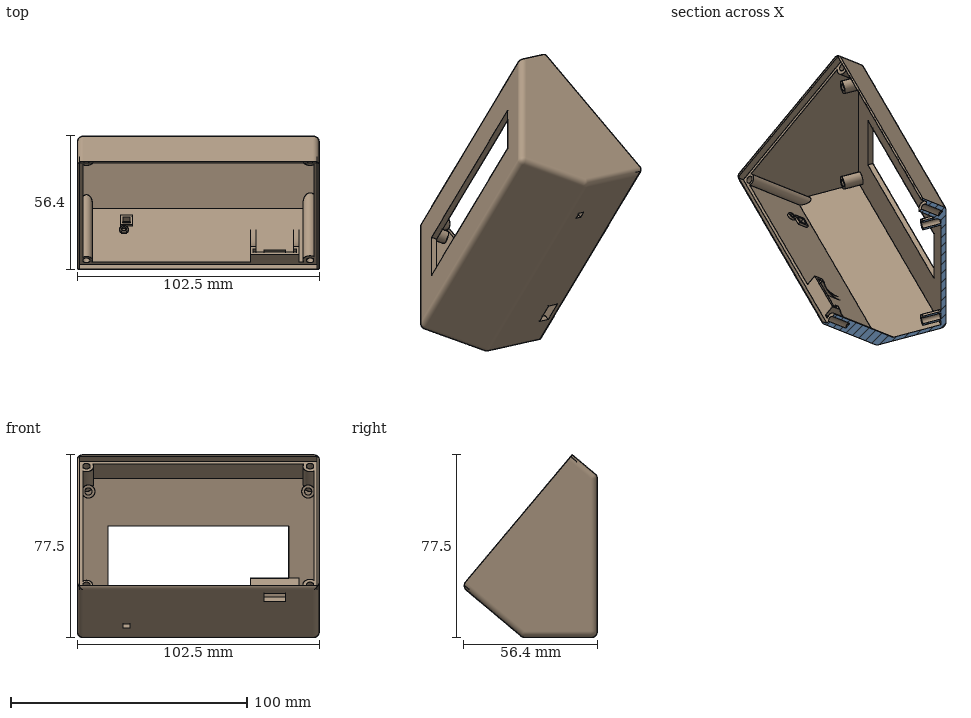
import cadquery as cq
import math


width = 102.5
height = 77.5
tilt = math.radians(40)
bottom_depth = 31.6
tip_depth = 10.7
wall = 2.4
edge_radius = 2.6

lip = 1.0
recess_depth = 3.3

post_radius = 3.1
slim_post_radius = 2.6
post_hole_radius = 1.5
post_hole_depth = 10.2
post_side_inset = 3.9
post_end_inset = 3.6

window_width = 76.5
window_height = 25.4
display_height = 34.5
boss_spacing_x = 93.1
boss_spacing_z = 54.7
boss_radius = 2.8
boss_hole_radius = 1.5
boss_length = 8.2

holder_x = 32.4
holder_width = 20.7
holder_height = 5.0
holder_end_wall = 1.3
arm_width = 2.4
arm_length = 3.2
arm_sweep = 13.4
board_slot = 1.6
board_slot_depth = 1.1
plug_width = 9.2
plug_height = 5.3

detail_height = 1.0
frame_x = -30.4
frame_place = 7.9
frame_size = 5.1
frame_opening = 3.3
light_hole_width = 3.1
light_hole_height = 2.7
pin_x = -31.5
pin_place = 12.9
pin_radius = 1.8
pin_hole_radius = 1.0

up_front = (-math.cos(tilt), math.sin(tilt))
inward = (math.sin(tilt), math.cos(tilt))

mouth_length = height * math.cos(tilt) + (bottom_depth - tip_depth) * math.sin(tilt)
front_length = height * math.sin(tilt) - (bottom_depth - tip_depth) * math.cos(tilt)
ledge_place = front_length - recess_depth


def on_front(place, rise):
    """Y, Z of a point `place` up the outside of the front wall and `rise` into the box."""
    y = -bottom_depth + place * up_front[0] + rise * inward[0]
    z = place * up_front[1] + rise * inward[1]
    return (y, z)


def across(outline, x_start, x_end):
    """Solid from a closed Y-Z outline, extruded from x_start to x_end."""
    return outline.extrude(x_end - x_start).translate((x_start, 0, 0))


def front_block(x_middle, block_width, place_range, rise_range):
    """Box aligned with the front wall."""
    (low, high), (near, far) = place_range, rise_range
    corners = [on_front(low, near), on_front(high, near), on_front(high, far), on_front(low, far)]
    outline = cq.Workplane("YZ").polyline(corners).close()
    return across(outline, x_middle - block_width / 2, x_middle + block_width / 2)


def rod(x, yz, direction, radius, length):
    """Cylinder from a point along a direction in the Y-Z plane."""
    start = cq.Vector(x, *yz)
    return cq.Workplane(cq.Solid.makeCylinder(radius, length, start, cq.Vector(0, *direction)))


tip = on_front(front_length, mouth_length)
back_height = height - tip_depth * math.tan(tilt)
outline = [(0, 0), on_front(0, 0), on_front(front_length, 0), tip, (0, back_height)]
block = across(cq.Workplane("YZ").polyline(outline).close(), -width / 2, width / 2)
mouth = block.faces(cq.selectors.DirectionMinMaxSelector(cq.Vector(0, *up_front)))
front_rim = mouth.edges("<Y").val()
sharp_edges = [edge for edge in mouth.edges().vals() if not edge.isSame(front_rim)]
round_edges = [e for e in block.edges().vals() if not any(e.isSame(s) for s in sharp_edges)]
body = block.newObject(round_edges).fillet(edge_radius)

foot_y = -bottom_depth + wall * math.tan(tilt / 2)
ceiling_z = back_height + wall * (math.tan(tilt) - 1 / math.cos(tilt))
inside_outline = [
    (-wall, wall),
    (foot_y, wall),
    on_front(front_length, wall),
    on_front(front_length, mouth_length - wall),
    (-wall, ceiling_z),
]
inside = across(
    cq.Workplane("YZ").polyline(inside_outline).close(), wall - width / 2, width / 2 - wall
)
recess = front_block(0, width - 2 * lip, (ledge_place, front_length), (lip, mouth_length - lip))
enclosure = body.cut(inside).cut(recess)

window = cq.Workplane("XY").box(window_width, 3 * wall, window_height)
enclosure = enclosure.cut(window.translate((0, -wall, display_height)))

for x in (-boss_spacing_x / 2, boss_spacing_x / 2):
    for z in (display_height - boss_spacing_z / 2, display_height + boss_spacing_z / 2):
        boss = rod(x, (-wall, z), (-1, 0), boss_radius, boss_length)
        boss_hole = rod(x, (-wall, z), (-1, 0), boss_hole_radius, boss_length)
        enclosure = enclosure.union(boss.intersect(inside).cut(boss_hole))

into_box = (-up_front[0], -up_front[1])
post_x = width / 2 - post_side_inset
low_rise = post_end_inset
high_rise = mouth_length - post_end_inset
posts = [
    (-post_x, low_rise, slim_post_radius),
    (post_x, low_rise, post_radius),
    (-post_x, high_rise, post_radius),
    (post_x, high_rise, post_radius),
]
for x, rise, radius in posts:
    top = on_front(ledge_place, rise)
    post = rod(x, top, into_box, radius, height).intersect(body)
    post_hole = rod(x, top, into_box, post_hole_radius, post_hole_depth)
    enclosure = enclosure.union(post).cut(post_hole)

holder_top = wall + holder_height
end_wall_place = ledge_place - holder_end_wall
end_wall = front_block(holder_x, holder_width, (end_wall_place, ledge_place), (wall, holder_top))
enclosure = enclosure.union(end_wall)

arm_end = end_wall_place - arm_length
sweep_radius = (arm_sweep**2 + holder_height**2) / (2 * holder_height)
sweep_angle = math.asin(arm_sweep / sweep_radius)
sweep_start = arm_end - arm_sweep
sweep_middle = on_front(
    sweep_start + sweep_radius * math.sin(sweep_angle / 2),
    wall + sweep_radius * (1 - math.cos(sweep_angle / 2)),
)
for side in (-1, 1):
    arm_outline = (
        cq.Workplane("YZ")
        .moveTo(*on_front(sweep_start, wall))
        .threePointArc(sweep_middle, on_front(arm_end, holder_top))
        .lineTo(*on_front(end_wall_place, holder_top))
        .lineTo(*on_front(end_wall_place, wall))
        .close()
    )
    arm_x = holder_x + side * (holder_width - arm_width) / 2
    enclosure = enclosure.union(across(arm_outline, arm_x - arm_width / 2, arm_x + arm_width / 2))

slot_width = holder_width - 2 * arm_width + 2 * board_slot_depth
slot_range = (end_wall_place - board_slot, end_wall_place)
plug_range = (end_wall_place - plug_height, end_wall_place)
enclosure = enclosure.cut(front_block(holder_x, slot_width, slot_range, (wall, holder_top)))
enclosure = enclosure.cut(front_block(holder_x, plug_width, plug_range, (-wall, wall)))

detail_range = (wall, wall + detail_height)
frame_range = (frame_place - frame_size / 2, frame_place + frame_size / 2)
opening_range = (frame_place - frame_opening / 2, frame_place + frame_opening / 2)
frame = front_block(frame_x, frame_size, frame_range, detail_range)
frame = frame.cut(front_block(frame_x, light_hole_width, opening_range, detail_range))
light_range = (opening_range[0], opening_range[0] + light_hole_height)
light_hole = front_block(frame_x, light_hole_width, light_range, (-wall, wall))
enclosure = enclosure.union(frame).cut(light_hole)

pin_foot = on_front(pin_place, wall)
pin = rod(pin_x, pin_foot, inward, pin_radius, detail_height)
pin_hole = rod(pin_x, pin_foot, inward, pin_hole_radius, detail_height)
enclosure = enclosure.union(pin.cut(pin_hole))

result = enclosure